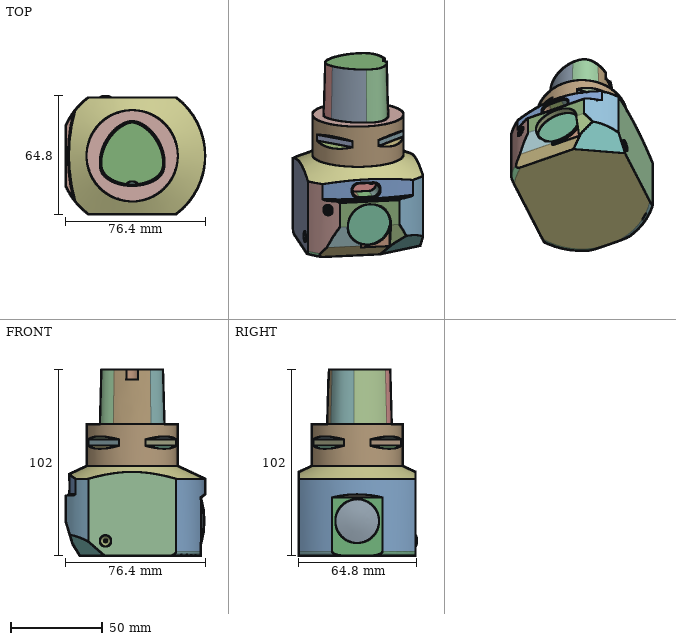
import cadquery as cq
import math

HEIGHT = 102.0
BODY_RADIUS = 40.0
COLLAR_RADIUS = 25.0
SHOULDER_Z = 42.1
CONE_TOP_Z = 49.2
COLLAR_TOP_Z = 72.0
RIM_FILLET = 2.4
BODY_WIDTH = 64.0
SIDE_Y = BODY_WIDTH / 2

SHANK_BASE_RADIUS = 17.7
SHANK_TOP_RADIUS = 16.9
LOBE_HEIGHT = 1.2
LOBE_HALF_ANGLE = 36
KEYWAY_RADIUS = 4.0
KEYWAY_FLOOR_Y = -14.0
KEYWAY_DEPTH = 5.5

NOTCH_COUNT = 4
NOTCH_FLOOR = 22.0
NOTCH_Z = 61.9
NOTCH_FLOOR_HEIGHT = 3.4
NOTCH_WALL_ANGLE = 30

FACE_X = -36.4
UPPER_SLOPE_Z = 18.7
LOWER_SLOPE_Z = 6.4
LOWER_SLOPE_X = -32.6
BOTTOM_EDGE_X = -28.7
FACE_BEVEL_HEIGHT = 0.6
FACE_BEVEL_WIDTH = 0.3

CORNER_ANGLE = 28.6
CORNER_DISTANCE = 28.6
CORNER_TILT = 45

DIAL_FACE_X = BODY_RADIUS - RIM_FILLET
DIAL_FACE_TOP_Z = 31.8
DIAL_FACE_SLOPE_Z = 33.7

RECESS_X = -34.6
RECESS_RADIUS = 92.8
RECESS_Z = 33.0
RECESS_FOOT = 0.6

SLOT_Y = 1.5
SLOT_Z = 38.5
SLOT_LENGTH = 15.1
SLOT_WIDTH = 7.8
SLOT_DEPTH = 12.2
SLOT_CHAMFER = 0.5
SLOT_HOLE_Y = -3.5
SLOT_HOLE_Z = 40.2
SLOT_HOLE_DIAMETER = 3.4
SLOT_HOLE_BORE_DIAMETER = 2.5
SLOT_HOLE_TIP_DIAMETER = 1.5
SLOT_HOLE_STEP = 1.0

BAR_DIAMETER = 24.0
BAR_RADIUS = BAR_DIAMETER / 2
BAR_Z = 19.0
BAR_FACE_X = -33.0
BAR_RIM_HEIGHT = 0.3
BAR_DOME_HEIGHT = 1.7
INSERT_POCKET_X = -32.0
INSERT_POCKET_BOTTOM_Z = 5.3
INSERT_POCKET_SIDE_Y = 4.0

SIDE_PIN_X = -14.6
SIDE_PIN_Z = 8.2
SOCKET_DIAMETER = 5.4
SOCKET_RIM_DIAMETER = 6.2
SOCKET_CONE_DEPTH = 2.0
SOCKET_TIP_DIAMETER = 1.5
SOCKET_TIP_DEPTH = 1.0
BUTTON_DIAMETER = 6.0
BUTTON_HEIGHT = 0.8

NOZZLE_Y = 22.5
NOZZLE_Z = 27.6
NOZZLE_TILT = 12
NOZZLE_SEAT_DIAMETER = 5.4
NOZZLE_SEAT_DEPTH = 1.2
NOZZLE_BORE_DIAMETER = 4.2
NOZZLE_BORE_DEPTH = 0.6
NOZZLE_TIP_DIAMETER = 1.5
NOZZLE_TIP_DEPTH = 1.0

CLEAR = 102.0


def turned_body():
    """Body, cone and collar turned about Z, cut to width by the side flats."""
    arc_corner = RIM_FILLET * (1 - math.sqrt(0.5))
    profile = (
        cq.Workplane("XZ")
        .lineTo(BODY_RADIUS - RIM_FILLET, 0)
        .threePointArc((BODY_RADIUS - arc_corner, arc_corner), (BODY_RADIUS, RIM_FILLET))
        .lineTo(BODY_RADIUS, SHOULDER_Z)
        .lineTo(COLLAR_RADIUS, CONE_TOP_Z)
        .lineTo(COLLAR_RADIUS, COLLAR_TOP_Z)
        .lineTo(0, COLLAR_TOP_Z)
        .close()
    )
    body = profile.revolve(360, (0, 0, 0), (0, 1, 0))
    width = cq.Workplane("XY").box(2 * CLEAR, BODY_WIDTH, HEIGHT, centered=(True, True, False))
    return body.intersect(width)


def lobe_point(mean_radius, degrees):
    """Point of the three-lobed outline whose normal is turned from +Y by the angle."""
    angle = math.radians(degrees)
    reach = mean_radius + LOBE_HEIGHT * math.cos(3 * angle)
    slide = -3 * LOBE_HEIGHT * math.sin(3 * angle)
    return (
        reach * math.sin(angle) + slide * math.cos(angle),
        reach * math.cos(angle) - slide * math.sin(angle),
    )


def lobed_wire(mean_radius, z):
    """Three-lobed outline at one height, split at the ends of each lobe."""
    steps = 6
    edges = []
    for lobe in range(3):
        middle = 120 * lobe
        ends = [middle - LOBE_HALF_ANGLE, middle + LOBE_HALF_ANGLE, middle + 120 - LOBE_HALF_ANGLE]
        for start, stop in zip(ends, ends[1:]):
            points = []
            for i in range(steps + 1):
                x, y = lobe_point(mean_radius, start + (stop - start) * i / steps)
                points.append(cq.Vector(x, y, z))
            edges.append(cq.Edge.makeSpline(points))
    return cq.Wire.assembleEdges(edges)


def shank():
    """Tapered shank with a keyway at its top."""
    base = lobed_wire(SHANK_BASE_RADIUS, COLLAR_TOP_Z)
    top = lobed_wire(SHANK_TOP_RADIUS, HEIGHT)
    taper = cq.Workplane(cq.Solid.makeLoft([base, top], True))
    keyway = (
        cq.Workplane("XY", origin=(0, KEYWAY_FLOOR_Y - KEYWAY_RADIUS, HEIGHT - KEYWAY_DEPTH))
        .circle(KEYWAY_RADIUS)
        .extrude(KEYWAY_DEPTH)
    )
    return taper.cut(keyway)


def gripper_notch(degrees):
    """Trapezoidal cutter for one collar notch."""
    depth = COLLAR_RADIUS - NOTCH_FLOOR
    half_floor = NOTCH_FLOOR_HEIGHT / 2
    half_mouth = half_floor + depth * math.tan(math.radians(NOTCH_WALL_ANGLE))
    outline = [
        (NOTCH_FLOOR, NOTCH_Z - half_floor),
        (COLLAR_RADIUS, NOTCH_Z - half_mouth),
        (COLLAR_RADIUS, NOTCH_Z + half_mouth),
        (NOTCH_FLOOR, NOTCH_Z + half_floor),
    ]
    cutter = cq.Workplane("XZ").polyline(outline).close().extrude(COLLAR_RADIUS, both=True)
    return cutter.rotate((0, 0, 0), (0, 0, 1), degrees)


def face_cut():
    """Everything outside the -X face and its two slopes."""
    outline = [
        (FACE_X + FACE_BEVEL_WIDTH, RECESS_Z),
        (FACE_X, RECESS_Z - FACE_BEVEL_HEIGHT),
        (FACE_X, UPPER_SLOPE_Z),
        (LOWER_SLOPE_X, LOWER_SLOPE_Z),
        (BOTTOM_EDGE_X, 0),
        (-CLEAR, 0),
        (-CLEAR, RECESS_Z),
    ]
    return cq.Workplane("XZ").polyline(outline).close().extrude(CLEAR, both=True)


def dial_face_cut():
    """Everything outside the +X face."""
    outline = [
        (DIAL_FACE_X, 0),
        (DIAL_FACE_X, DIAL_FACE_TOP_Z),
        (BODY_RADIUS, DIAL_FACE_SLOPE_Z),
        (CLEAR, DIAL_FACE_SLOPE_Z),
        (CLEAR, 0),
    ]
    return cq.Workplane("XZ").polyline(outline).close().extrude(CLEAR, both=True)


def corner_cut():
    """Half space below the bevel of the -X -Y bottom corner."""
    heading = math.radians(CORNER_ANGLE)
    tilt = math.radians(CORNER_TILT)
    out_x = -math.cos(heading)
    out_y = -math.sin(heading)
    bevel = cq.Plane(
        origin=(CORNER_DISTANCE * out_x, CORNER_DISTANCE * out_y, 0),
        xDir=(-out_y, out_x, 0),
        normal=(out_x * math.cos(tilt), out_y * math.cos(tilt), -math.sin(tilt)),
    )
    return cq.Workplane(bevel).rect(2 * CLEAR, 2 * CLEAR).extrude(CLEAR)


def recess_cut():
    """Recess above the -X face, bounded by a bowed wall with a sloped foot."""
    center_x = RECESS_X + RECESS_RADIUS
    outline = [
        (RECESS_RADIUS + RECESS_FOOT, RECESS_Z),
        (RECESS_RADIUS, RECESS_Z + RECESS_FOOT),
        (RECESS_RADIUS, CONE_TOP_Z),
        (RECESS_RADIUS + CLEAR, CONE_TOP_Z),
        (RECESS_RADIUS + CLEAR, RECESS_Z),
    ]
    ring = cq.Workplane("XZ").polyline(outline).close().revolve(360, (0, 0, 0), (0, 1, 0))
    near_side = (
        cq.Workplane("XY", origin=(BOTTOM_EDGE_X - CLEAR, 0, 0))
        .box(CLEAR, CLEAR, CONE_TOP_Z, centered=(False, True, False))
    )
    return ring.translate((center_x, 0, 0)).intersect(near_side)


def stepped_hole(mouth, inward, steps, run_out):
    """Coaxial steps of (diameter, depth), started outside the mouth by the run-out."""
    start = mouth - inward * run_out
    hole = cq.Workplane()
    depth = 0
    for diameter, step in steps:
        depth += step
        hole = hole.add(cq.Solid.makeCylinder(diameter / 2, depth + run_out, start, inward))
    return hole.combine()


def slot_cut():
    """Slot in the recess wall with a stepped hole in its floor."""
    floor_x = RECESS_X + SLOT_DEPTH
    floor = cq.Workplane("YZ", origin=(floor_x, SLOT_Y, SLOT_Z))
    slot = floor.slot2D(SLOT_LENGTH, SLOT_WIDTH).extrude(-2 * SLOT_DEPTH)
    hole = stepped_hole(
        cq.Vector(floor_x, SLOT_HOLE_Y, SLOT_HOLE_Z),
        cq.Vector(1, 0, 0),
        [
            (SLOT_HOLE_DIAMETER, SLOT_HOLE_STEP),
            (SLOT_HOLE_BORE_DIAMETER, SLOT_HOLE_STEP),
            (SLOT_HOLE_TIP_DIAMETER, SLOT_HOLE_STEP),
        ],
        0,
    )
    return slot.union(hole)


def chamfer_slot_mouth(housing):
    """Chamfer along the slot outline on the recess wall."""
    reach = 0.1
    half_length = SLOT_LENGTH / 2 + reach
    half_width = SLOT_WIDTH / 2 + reach
    near_mouth = cq.selectors.BoxSelector(
        (RECESS_X - reach, SLOT_Y - half_length, SLOT_Z - half_width),
        (RECESS_X + SLOT_DEPTH / 4, SLOT_Y + half_length, SLOT_Z + half_width),
    )
    return housing.edges(near_mouth).chamfer(SLOT_CHAMFER)


def insert_pocket():
    """Square corner beside the bar bore, open to the slopes."""
    width = BAR_RADIUS + INSERT_POCKET_SIDE_Y
    height = BAR_Z - INSERT_POCKET_BOTTOM_Z
    corner = (INSERT_POCKET_X - CLEAR, -BAR_RADIUS, INSERT_POCKET_BOTTOM_Z)
    return cq.Workplane("XY", origin=corner).box(CLEAR, width, height, centered=False)


def bar_bore():
    """Bore for the slide bar, through the housing along X."""
    return cq.Workplane("YZ", origin=(-CLEAR, 0, BAR_Z)).circle(BAR_RADIUS).extrude(2 * CLEAR)


def side_socket():
    """Conical socket with a rim chamfer in the -Y flat."""
    rim = (SOCKET_RIM_DIAMETER - SOCKET_DIAMETER) / 2
    profile = (
        cq.Workplane("XY")
        .lineTo(SOCKET_RIM_DIAMETER / 2, 0)
        .lineTo(SOCKET_DIAMETER / 2, rim)
        .lineTo(SOCKET_TIP_DIAMETER / 2, SOCKET_CONE_DEPTH)
        .lineTo(SOCKET_TIP_DIAMETER / 2, SOCKET_CONE_DEPTH + SOCKET_TIP_DEPTH)
        .lineTo(0, SOCKET_CONE_DEPTH + SOCKET_TIP_DEPTH)
        .close()
    )
    socket = profile.revolve(360, (0, 0, 0), (0, 1, 0))
    return socket.translate((SIDE_PIN_X, -SIDE_Y, SIDE_PIN_Z))


def side_button():
    """Domed button on the +Y flat."""
    radius = BUTTON_DIAMETER / 2
    dome_radius = (radius**2 + BUTTON_HEIGHT**2) / (2 * BUTTON_HEIGHT)
    half_chord = radius / 2
    half_height = BUTTON_HEIGHT - dome_radius + math.sqrt(dome_radius**2 - half_chord**2)
    profile = (
        cq.Workplane("XY")
        .lineTo(radius, 0)
        .threePointArc((half_chord, half_height), (0, BUTTON_HEIGHT))
        .close()
    )
    button = profile.revolve(360, (0, 0, 0), (0, 1, 0))
    return button.translate((SIDE_PIN_X, SIDE_Y, SIDE_PIN_Z))


def nozzle_hole():
    """Stepped hole that enters the corner cylinder and rises inward."""
    mouth_x = -math.sqrt(BODY_RADIUS**2 - NOZZLE_Y**2)
    tilt = math.radians(NOZZLE_TILT)
    inward = cq.Vector(
        -mouth_x / BODY_RADIUS * math.cos(tilt),
        -NOZZLE_Y / BODY_RADIUS * math.cos(tilt),
        math.sin(tilt),
    )
    mouth = cq.Vector(mouth_x, NOZZLE_Y, NOZZLE_Z)
    steps = [
        (NOZZLE_SEAT_DIAMETER, NOZZLE_SEAT_DEPTH),
        (NOZZLE_BORE_DIAMETER, NOZZLE_BORE_DEPTH),
        (NOZZLE_TIP_DIAMETER, NOZZLE_TIP_DEPTH),
    ]
    return stepped_hole(mouth, inward, steps, NOZZLE_SEAT_DIAMETER / 2)


def build_housing():
    housing = turned_body().union(shank())
    for i in range(NOTCH_COUNT):
        housing = housing.cut(gripper_notch(360 / NOTCH_COUNT * (i + 0.5)))
    cutters = [
        face_cut(),
        dial_face_cut(),
        corner_cut(),
        recess_cut(),
        slot_cut(),
        bar_bore(),
        insert_pocket(),
        side_socket(),
        nozzle_hole(),
    ]
    for cutter in cutters:
        housing = housing.cut(cutter)
    return chamfer_slot_mouth(housing).union(side_button())


def build_slide_bar():
    """Bar with a flat face at -X and a domed end at +X."""
    rim_x = DIAL_FACE_X + BAR_RIM_HEIGHT
    dome_top_x = rim_x + BAR_DOME_HEIGHT
    dome_radius = (BAR_RADIUS**2 + BAR_DOME_HEIGHT**2) / (2 * BAR_DOME_HEIGHT)
    half_chord = BAR_RADIUS / 2
    half_x = dome_top_x - dome_radius + math.sqrt(dome_radius**2 - half_chord**2)
    profile = (
        cq.Workplane("XY")
        .moveTo(BAR_FACE_X, 0)
        .lineTo(BAR_FACE_X, BAR_RADIUS)
        .lineTo(rim_x, BAR_RADIUS)
        .threePointArc((half_x, half_chord), (dome_top_x, 0))
        .close()
    )
    bar = profile.revolve(360, (0, 0, 0), (1, 0, 0))
    return bar.translate((0, 0, BAR_Z))


housing = build_housing()
slide_bar = build_slide_bar()

result = cq.Compound.makeCompound([housing.solids().val(), slide_bar.val()])